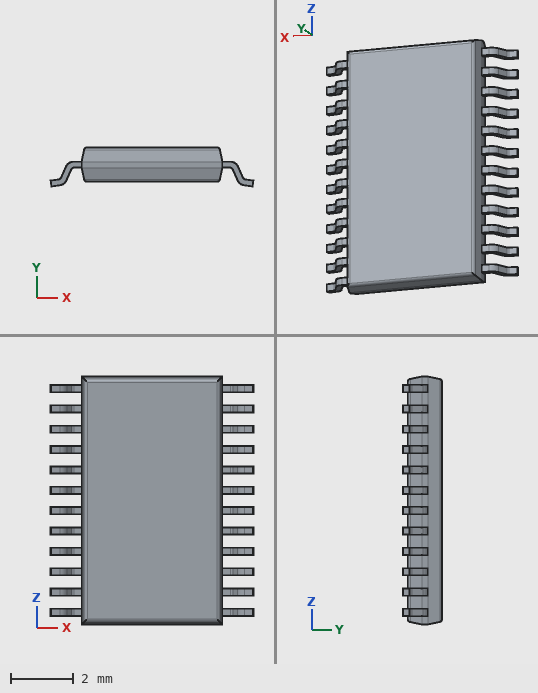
import cadquery as cq
import math


BODY_WIDTH = 4.49
BODY_HEIGHT = 7.9
BAND_THICKNESS = 0.2
BACK_DEPTH = 0.45
FRONT_DEPTH = 0.45
DRAFT_ANGLE = 12.0
FACE_FILLET = 0.1

LEADS_PER_SIDE = 12
LEAD_PITCH = 0.65
LEAD_WIDTH = 0.24
LEAD_THICKNESS = BAND_THICKNESS
LEAD_SPAN = 6.46
SHOULDER_X = 2.49
BEND_RADIUS = 0.18
LEG_ANGLE = 66.0
FOOT_ANGLE = 8.0
FOOT_REACH = 0.15
LEAD_EMBED = 0.08


def body_half(side, depth):
    """Drafted half from the band outwards; side is +1 for the back (+Y) and -1 for the front (-Y)."""
    base = cq.Plane(origin=(0, side * BAND_THICKNESS / 2, 0), xDir=(1, 0, 0), normal=(0, side, 0))
    half = cq.Workplane(base).rect(BODY_WIDTH, BODY_HEIGHT).extrude(depth, taper=DRAFT_ANGLE)
    outer_face = ">Y" if side > 0 else "<Y"
    return half.faces(outer_face).edges().fillet(FACE_FILLET)


def make_body():
    band = cq.Workplane("XY").box(BODY_WIDTH, BAND_THICKNESS, BODY_HEIGHT)
    return band.union(body_half(1, BACK_DEPTH)).union(body_half(-1, FRONT_DEPTH))


def from_point(point, distance, angle):
    """Point at a distance from another, in the direction given in degrees from +X."""
    turn = math.radians(angle)
    return (point[0] + distance * math.cos(turn), point[1] + distance * math.sin(turn))


def lead_outline():
    """S-shaped strip of the +X lead in the XY plane: shoulder, slanted leg and slightly drooping foot."""
    inner = BEND_RADIUS - LEAD_THICKNESS / 2
    outer = BEND_RADIUS + LEAD_THICKNESS / 2
    half = LEAD_THICKNESS / 2
    leg = math.radians(LEG_ANGLE)
    foot = math.radians(FOOT_ANGLE)

    tip_back_x = LEAD_SPAN / 2
    tip_front_y = -(BAND_THICKNESS / 2 + FRONT_DEPTH + FOOT_REACH)
    tip_front = (tip_back_x - LEAD_THICKNESS * math.sin(foot), tip_front_y)
    tip_back = (tip_back_x, tip_front_y + LEAD_THICKNESS * math.cos(foot))

    shoulder_centre = (SHOULDER_X, -BEND_RADIUS)
    leg_start = from_point(shoulder_centre, BEND_RADIUS, 90 - LEG_ANGLE)

    tip = ((tip_front[0] + tip_back[0]) / 2, (tip_front[1] + tip_back[1]) / 2)
    bend_dx = BEND_RADIUS * (math.sin(leg) - math.sin(foot))
    bend_dy = BEND_RADIUS * (math.cos(foot) - math.cos(leg))
    remaining_dx = tip[0] - leg_start[0] - bend_dx
    remaining_dy = leg_start[1] - tip[1] - bend_dy
    foot_cross = remaining_dy * math.cos(foot) - remaining_dx * math.sin(foot)
    leg_length = foot_cross / math.sin(leg - foot)

    leg_end = from_point(leg_start, leg_length, -LEG_ANGLE)
    foot_centre = from_point(leg_end, BEND_RADIUS, 90 - LEG_ANGLE)

    shoulder_mid = 90 - LEG_ANGLE / 2
    foot_mid = 270 - (LEG_ANGLE + FOOT_ANGLE) / 2
    root_x = BODY_WIDTH / 2 - LEAD_EMBED
    return (
        cq.Workplane("XY")
        .moveTo(root_x, half)
        .lineTo(SHOULDER_X, half)
        .threePointArc(
            from_point(shoulder_centre, outer, shoulder_mid),
            from_point(shoulder_centre, outer, 90 - LEG_ANGLE),
        )
        .lineTo(*from_point(foot_centre, inner, 270 - LEG_ANGLE))
        .threePointArc(
            from_point(foot_centre, inner, foot_mid),
            from_point(foot_centre, inner, 270 - FOOT_ANGLE),
        )
        .lineTo(*tip_back)
        .lineTo(*tip_front)
        .lineTo(*from_point(foot_centre, outer, 270 - FOOT_ANGLE))
        .threePointArc(
            from_point(foot_centre, outer, foot_mid),
            from_point(foot_centre, outer, 270 - LEG_ANGLE),
        )
        .lineTo(*from_point(shoulder_centre, inner, 90 - LEG_ANGLE))
        .threePointArc(
            from_point(shoulder_centre, inner, shoulder_mid),
            from_point(shoulder_centre, inner, 90),
        )
        .lineTo(root_x, -half)
        .close()
    )


result = make_body()
right_lead = lead_outline().extrude(LEAD_WIDTH / 2, both=True)
left_lead = right_lead.mirror("YZ")
for index in range(LEADS_PER_SIDE):
    lead_z = (index - (LEADS_PER_SIDE - 1) / 2) * LEAD_PITCH
    for lead in (right_lead, left_lead):
        result = result.union(lead.translate((0, 0, lead_z)))